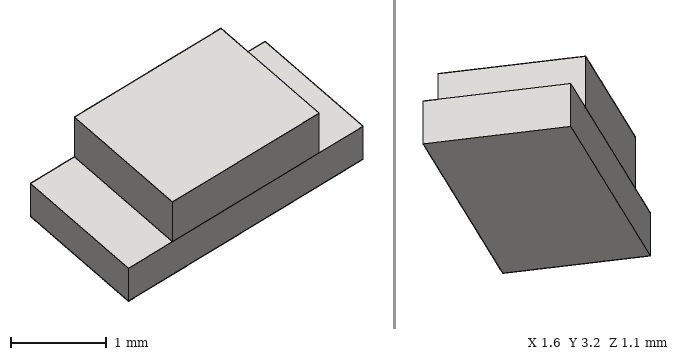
import cadquery as cq

width = 1.6
base_length = 3.2
base_height = 0.5
block_length = 2.0
block_height = 0.6


def make_base():
    """Flat rectangular plate resting on Z = 0."""
    return cq.Workplane("XY").box(width, base_length, base_height, centered=(True, True, False))


def make_block():
    """Shorter block of the same width, centred on top of the base."""
    return (
        cq.Workplane("XY")
        .workplane(offset=base_height)
        .box(width, block_length, block_height, centered=(True, True, False))
    )


base = make_base()
block = make_block()

result = cq.Compound.makeCompound([base.val(), block.val()])